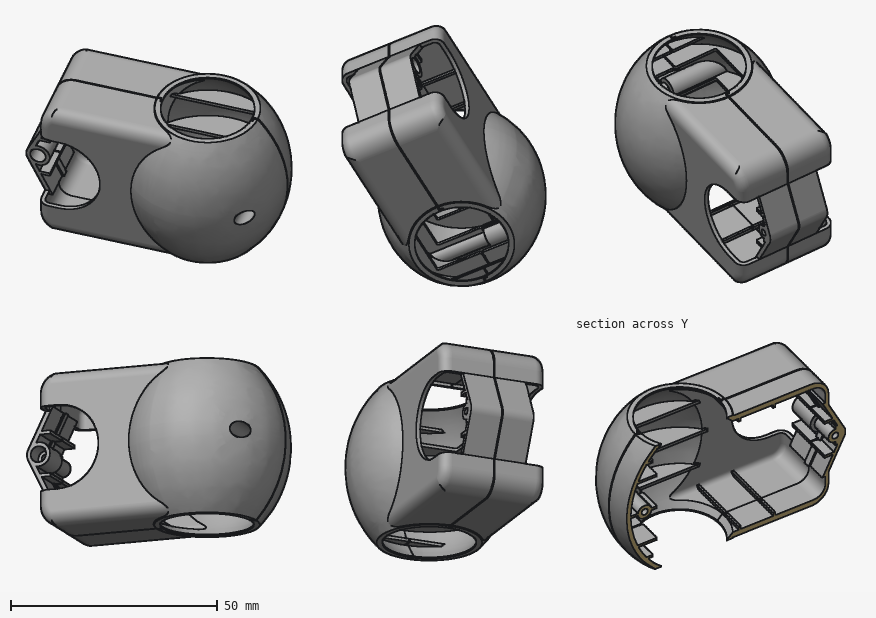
import cadquery as cq
import math


BALL_RADIUS = 20.4
RIM_RADIUS = 12.8
BALL_HALF_HEIGHT = 19.25
MOUTH_RADIUS = 11.4
BALL_WALL = 1.3
ARM_WALL = 1.1
FLOOR_WALL = 1.8

ARM_FRONT = -38.7
ARM_HALF_WIDTH = 13.75
ARM_HALF_HEIGHT = 19.05
PROFILE_RADIUS = 5.1
LONG_EDGE_RADIUS = 3.2
UPRIGHT_EDGE_RADIUS = 2.55
ARCH_RADIUS = 10.5
ARCH_CENTRE = -33.45

JOINT_GAP = 0.3
LIP_THICKNESS = 0.45
LIP_REACH = 0.95

HEAD_BOSS_RADIUS = 3.0
HEAD_RADIUS = 2.0
THREAD_BOSS_RADIUS = 2.05
CLEARANCE_RADIUS = 1.12
THREAD_RADIUS = 0.8
HEAD_SEAT = 3.2
THREAD_DEPTH = 7.7
BALL_SCREW_X = 14.15

BRIDGE_HALF_WIDTH = 8.3
BRIDGE_THICKNESS = 1.2
BRIDGE_TIP = -43.55
BRIDGE_SCREW_X = BRIDGE_TIP + HEAD_BOSS_RADIUS
TAB_HEIGHT = 5.3
TAB_THICKNESS = 0.8
TAB_END = -37.5
TAB_START = -40.3

SHELF_THICKNESS = 0.8
SHELF_HEIGHT = 9.9
SHELF_CUT_X = 10.7
SHELF_CUT_HALF_WIDTH = 12.0
SHELF_CORNER_RADIUS = 0.45
LEDGE_HEIGHT = 14.7
LEDGE_THICKNESS = 0.75
LEDGE_START = 11.8
RIB_POSITIONS = (-23.0, -13.1)
RIB_THICKNESS = 0.65
RIB_HEIGHT = 0.9

FAR = 63.95


def block(x_range, y_range, z_range):
    """Box between the given limits."""
    (x0, x1), (y0, y1), (z0, z1) = x_range, y_range, z_range
    return cq.Workplane("XY").box(x1 - x0, y1 - y0, z1 - z0, centered=False).translate((x0, y0, z0))


def cylinder_y(x, radius, y0, y1):
    """Cylinder along Y, centred on Z = 0."""
    return cq.Workplane("XZ", origin=(x, y0, 0)).circle(radius).extrude(y0 - y1)


def ball(inset):
    """Barrel-shaped ball of full height with its round surface moved inward by inset."""
    sagitta = BALL_RADIUS - RIM_RADIUS
    arc_radius = (BALL_HALF_HEIGHT**2 + sagitta**2) / (2 * sagitta) - inset
    arc_centre = BALL_RADIUS - inset - arc_radius
    rim = arc_centre + math.sqrt(arc_radius**2 - BALL_HALF_HEIGHT**2)
    return (
        cq.Workplane("XZ")
        .moveTo(0, -BALL_HALF_HEIGHT)
        .lineTo(rim, -BALL_HALF_HEIGHT)
        .threePointArc((BALL_RADIUS - inset, 0), (rim, BALL_HALF_HEIGHT))
        .lineTo(0, BALL_HALF_HEIGHT)
        .close()
        .revolve(360, (0, 0, 0), (0, 1, 0))
    )


def arm(wall_inset, floor_inset):
    """Arm block from its front face to the Z axis, moved inward from the outer walls and floors."""
    front = ARM_FRONT + wall_inset
    half_width = ARM_HALF_WIDTH - wall_inset
    half_height = ARM_HALF_HEIGHT - floor_inset
    blank = block((front, 0), (-half_width, half_width), (-half_height, half_height))
    side = blank.edges("|Y and <X").fillet(PROFILE_RADIUS - floor_inset)
    rounded = side.faces("<Y or >Y").edges("not >X").fillet(UPRIGHT_EDGE_RADIUS - wall_inset)
    section = blank.edges("|X").fillet(LONG_EDGE_RADIUS - floor_inset)
    return rounded.intersect(section)


def cavity(growth):
    """Hollow inside of the housing and its mouth, grown outward by growth."""
    mouth = cq.Workplane("XY").circle(MOUTH_RADIUS + growth).extrude(FAR, both=True)
    arm_room = arm(ARM_WALL - growth, FLOOR_WALL - growth)
    return ball(BALL_WALL - growth).union(arm_room).union(mouth)


def arch():
    """Side opening through the arm, open to the front."""
    round_end = cylinder_y(ARCH_CENTRE, ARCH_RADIUS, -FAR, FAR)
    straight = block((-FAR, ARCH_CENTRE), (-FAR, FAR), (-ARCH_RADIUS, ARCH_RADIUS))
    return round_end.union(straight)


def inner_plates(sign):
    """Shelves, ledges and ribs on one side (sign) of the joint."""
    y_near = JOINT_GAP / 2
    side_range = sorted((sign * y_near, sign * FAR))
    cut_range = sorted((0, sign * SHELF_CUT_HALF_WIDTH))
    half = SHELF_THICKNESS / 2
    cut = block((-FAR, SHELF_CUT_X), cut_range, (-FAR, FAR))
    shelf = block((-FAR, FAR), side_range, (-half, half)).cut(cut)
    for corner_y in (y_near, SHELF_CUT_HALF_WIDTH):
        corner = cq.selectors.NearestToPointSelector((SHELF_CUT_X, sign * corner_y, 0))
        shelf = shelf.edges("|Z").edges(corner).fillet(SHELF_CORNER_RADIUS)
    plates = shelf
    for z in (-SHELF_HEIGHT, SHELF_HEIGHT):
        plates = plates.union(shelf.translate((0, 0, z)))

    half = LEDGE_THICKNESS / 2
    for z in (-LEDGE_HEIGHT, LEDGE_HEIGHT):
        plates = plates.union(block((LEDGE_START, FAR), side_range, (z - half, z + half)))
    plates = plates.intersect(ball(BALL_WALL / 2))

    rib_top = ARM_HALF_HEIGHT - FLOOR_WALL - RIB_HEIGHT
    rib_space = arm(ARM_WALL / 2, FLOOR_WALL / 2).intersect(block((-FAR, FAR), side_range, (-FAR, FAR)))
    for x in RIB_POSITIONS:
        rib_x = (x - RIB_THICKNESS / 2, x + RIB_THICKNESS / 2)
        for z_range in ((-FAR, -rib_top), (rib_top, FAR)):
            plates = plates.union(block(rib_x, (-FAR, FAR), z_range).intersect(rib_space))
    return plates


def bridge_strip(top, bottom, y0, y1):
    """V-shaped strip parallel to the bridge's outer face, between two depths below it."""
    reach = math.hypot(ARM_FRONT - BRIDGE_SCREW_X, ARCH_RADIUS)
    slope = math.atan2(ARCH_RADIUS, ARM_FRONT - BRIDGE_SCREW_X) + math.acos(HEAD_BOSS_RADIUS / reach)
    end_z = ARCH_RADIUS + ARM_WALL

    def x_at(depth, z):
        return BRIDGE_SCREW_X + (HEAD_BOSS_RADIUS - depth - z * math.sin(slope)) / math.cos(slope)

    tip_z = HEAD_BOSS_RADIUS * math.sin(slope)
    strips = cq.Workplane("XZ", origin=(0, y0, 0))
    for side in (-1, 1):
        strips = (
            strips.moveTo(x_at(top, tip_z), side * tip_z)
            .lineTo(x_at(top, end_z), side * end_z)
            .lineTo(x_at(bottom, end_z), side * end_z)
            .lineTo(x_at(bottom, tip_z), side * tip_z)
            .close()
        )
    return strips.extrude(y0 - y1)


def bridge(y0, y1, boss_radius):
    """Bridge plate over the arch with its screw boss and stiffening tabs."""
    tip = cylinder_y(BRIDGE_SCREW_X, HEAD_BOSS_RADIUS, y0, y1)
    if boss_radius < HEAD_BOSS_RADIUS:
        plate_zone = block((-FAR, BRIDGE_SCREW_X), (y0, y1), (-FAR, FAR))
        tip = tip.intersect(plate_zone).union(cylinder_y(BRIDGE_SCREW_X, boss_radius, y0, y1))
    plate = bridge_strip(0, BRIDGE_THICKNESS, y0, y1).union(tip)
    for z in (-TAB_HEIGHT, TAB_HEIGHT):
        tab_z = (z - TAB_THICKNESS / 2, z + TAB_THICKNESS / 2)
        plate = plate.union(block((TAB_START, TAB_END), (y0, y1), tab_z))
    return plate


shell = ball(0).union(arm(0, 0)).cut(cavity(0)).cut(arch())
lip_zone = cavity(LIP_THICKNESS).intersect(block((-FAR, FAR), (-LIP_REACH, JOINT_GAP), (-FAR, FAR)))


def make_front_half():
    """Half on the -Y side: takes the screw heads and the lip."""
    joint = -JOINT_GAP / 2
    half = shell.intersect(block((-FAR, FAR), (-FAR, joint), (-FAR, FAR)))
    half = half.cut(lip_zone).union(inner_plates(-1))
    boss = cylinder_y(BALL_SCREW_X, HEAD_BOSS_RADIUS, -FAR, joint).intersect(ball(BALL_WALL / 2))
    half = half.union(boss).union(bridge(-BRIDGE_HALF_WIDTH, joint, HEAD_BOSS_RADIUS))
    half = half.cut(shell.intersect(lip_zone))
    for x in (BALL_SCREW_X, BRIDGE_SCREW_X):
        half = half.cut(cylinder_y(x, HEAD_RADIUS, -FAR, -HEAD_SEAT))
        half = half.cut(cylinder_y(x, CLEARANCE_RADIUS, -FAR, joint))
    return half


def make_back_half(front_half):
    """Half on the +Y side: carries the lip and the screw threads."""
    joint = JOINT_GAP / 2
    half = shell.intersect(block((-FAR, FAR), (joint, FAR), (-FAR, FAR)))
    half = half.union(shell.intersect(lip_zone)).union(inner_plates(1))
    boss = cylinder_y(BALL_SCREW_X, THREAD_BOSS_RADIUS, joint, FAR).intersect(ball(BALL_WALL / 2))
    half = half.union(boss).union(bridge(joint, BRIDGE_HALF_WIDTH, THREAD_BOSS_RADIUS))
    lip_depth = BRIDGE_THICKNESS + LIP_THICKNESS
    bridge_lip = bridge_strip(BRIDGE_THICKNESS, lip_depth, -LIP_REACH, LIP_REACH)
    half = half.union(bridge_lip.cut(front_half))
    half = half.cut(cylinder_y(BALL_SCREW_X, THREAD_RADIUS, joint, THREAD_DEPTH))
    half = half.cut(cylinder_y(BRIDGE_SCREW_X, THREAD_RADIUS, joint, BRIDGE_HALF_WIDTH))
    return half


front_half = make_front_half()
back_half = make_back_half(front_half)

result = cq.Compound.makeCompound([front_half.val(), back_half.val()])